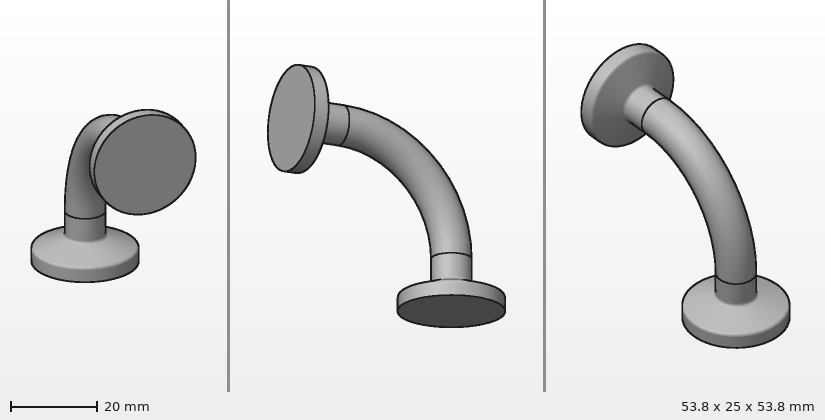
import cadquery as cq
import math

overall_size = 53.8
flange_diameter = 25.0
tube_diameter = 9.5
ferrule_length = 12.7
rim_height = 3.65
cone_angle = 20.0
blend_radius = 0.8

flange_radius = flange_diameter / 2
tube_radius = tube_diameter / 2
cone_rise = (flange_radius - tube_radius) * math.tan(math.radians(cone_angle))
cone_top = rim_height + cone_rise
outlet_height = overall_size - flange_radius
outlet_face_x = overall_size - flange_radius
bend_radius = outlet_height - ferrule_length


def make_ferrule():
    """Flange with a conical back and a tube neck, its face on the XY plane."""
    profile = (
        cq.Workplane("XZ")
        .moveTo(0, 0)
        .lineTo(flange_radius, 0)
        .lineTo(flange_radius, rim_height)
        .lineTo(tube_radius, cone_top)
        .lineTo(tube_radius, ferrule_length)
        .lineTo(0, ferrule_length)
        .close()
    )
    ferrule = profile.revolve(360, (0, 0, 0), (0, 1, 0))
    return ferrule.faces("%CONE").edges("%CIRCLE").fillet(blend_radius)


def make_elbow():
    """Quarter-circle bend from the inlet ferrule to the outlet ferrule."""
    return (
        cq.Workplane("XY", origin=(0, 0, ferrule_length))
        .circle(tube_radius)
        .revolve(90, (bend_radius, 0, 0), (bend_radius, 1, 0))
    )


ferrule_placements = [
    (0, (0, 0, 0)),
    (-90, (outlet_face_x, 0, outlet_height)),
]
ferrules = []
for turn_angle, position in ferrule_placements:
    ferrule = make_ferrule().rotate((0, 0, 0), (0, 1, 0), turn_angle).translate(position)
    ferrules.append(ferrule.val())

elbow = make_elbow()

result = cq.Compound.makeCompound([elbow.val(), *ferrules])